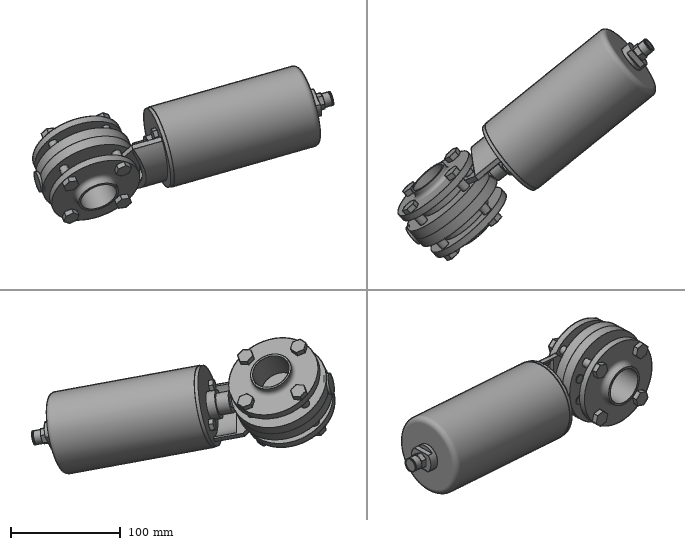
import cadquery as cq
import math


TOTAL_L = 284.0

RING_R = 45.5
RING_HALF_W = 10.0
FLANGE_R = 42.5
FLANGE_IN_X = 20.0
FLANGE_OUT_X = 26.5
HUB_R = 26.0
PIPE_R = 19.3
PIPE_END_X = 34.0
BORE_R = 17.3
WELD_FILLET = 4.0

BOLT_CIRCLE_R = 35.8
BOLT_COUNT = 4
FIRST_BOLT_ANGLE = 45
BOLT_R = 4.3
BOLT_HEAD_FLATS = 13.0
BOLT_HEAD_H = 5.0

DISC_THICK = 13.5
STEM_R = 5.7
STEM_SQUARE = 9.5
CAP_R = 9.7
CAP_SEAT_Y = -43.2
CAP_END_Y = -47.1

ACTUATOR_R = 38.0
ACTUATOR_Y = 68.5
ACTUATOR_END_Y = 214.5
ACTUATOR_FILLET = 5.0
RIM_R = 37.5
RIM_H = 3.5
COLLAR_R = 13.3
COLLAR_END_Y = 60.0
NECK_R = 10.2
NECK_END_Y = 48.0
SCREW_Z = 22.0
SCREW_FLATS = 10.2
SCREW_H = 4.3

BOSS_R = 12.8
BOSS_END_Y = 223.0
BOSS_FLAT_Z = 8.8
BOSS_FLAT_Y = 217.8
NUT_FLATS = 13.3
NUT_END_Y = 228.3
PLUG_R = 6.5
PLUG_END_Y = CAP_END_Y + TOTAL_L
GROOVE_DEPTH = 0.3
GROOVE_W = 0.9

PLATE_THICK = 4.8
PLATE_HALF_Z = 30.5
PLATE_X = RING_HALF_W
PLATE_OUT_X = PLATE_X + PLATE_THICK
PLATE_TAPER_Y = 40.0
PLATE_END_Y = 26.0
WINDOW_Y = 46.5
SHELL_AXIS_X = -10.8
SHELL_OUT_R = 39.8
SHELL_IN_R = 35.2
SHELL_TIP_X = SHELL_AXIS_X + SHELL_OUT_R
SHELL_TIP_Y = 47.7
PIN_R = 4.3
PIN_Y = 33.5
PIN_Z = 11.5
PIN_START_X = -11.0
PIN_END_X = 19.3


def x_cylinder(radius, x0, x1, y=0.0, z=0.0):
    return cq.Workplane("YZ", origin=(x0, y, z)).circle(radius).extrude(x1 - x0)


def y_plane(y, z=0.0):
    """Sketch plane facing +Y, with its first axis along -X and its second along Z."""
    return cq.Workplane(cq.Plane((0, y, z), xDir=(-1, 0, 0), normal=(0, 1, 0)))


def y_cylinder(radius, y0, y1):
    return y_plane(y0).circle(radius).extrude(y1 - y0)


def hexagon_prism(sketch_plane, flats, height):
    """Hexagonal prism with corners along the second axis of its sketch plane."""
    corner_diameter = flats / math.cos(math.pi / 6)
    return sketch_plane.transformed(rotate=(0, 0, 30)).polygon(6, corner_diameter).extrude(height)



def flange_bolt():
    """Bolt of the positive X half, at the +Y point of the bolt circle."""
    shank = x_cylinder(BOLT_R, RING_HALF_W, FLANGE_OUT_X, y=BOLT_CIRCLE_R)
    head_plane = cq.Workplane("YZ", origin=(FLANGE_OUT_X, BOLT_CIRCLE_R, 0))
    head = hexagon_prism(head_plane, BOLT_HEAD_FLATS, BOLT_HEAD_H)
    return shank.union(head)


def weld_end():
    """Pipe stub with a concave fillet against the flange."""
    fillet_x = FLANGE_OUT_X + WELD_FILLET
    foot_r = PIPE_R + WELD_FILLET
    middle = WELD_FILLET * (1 - math.sqrt(0.5))
    return (
        cq.Workplane("XY")
        .moveTo(FLANGE_OUT_X, 0)
        .lineTo(FLANGE_OUT_X, foot_r)
        .threePointArc((FLANGE_OUT_X + middle, PIPE_R + middle), (fillet_x, PIPE_R))
        .lineTo(PIPE_END_X, PIPE_R)
        .lineTo(PIPE_END_X, 0)
        .close()
        .revolve(360, (0, 0, 0), (1, 0, 0))
    )


def make_valve_half():
    """Half ring, hub, flange, weld end and bolts on the positive X side."""
    half = x_cylinder(RING_R, 0, RING_HALF_W)
    half = half.union(x_cylinder(HUB_R, RING_HALF_W, FLANGE_IN_X))
    half = half.union(x_cylinder(FLANGE_R, FLANGE_IN_X, FLANGE_OUT_X))
    half = half.union(weld_end())
    for i in range(BOLT_COUNT):
        angle = FIRST_BOLT_ANGLE + i * 360 / BOLT_COUNT
        half = half.union(flange_bolt().rotate((0, 0, 0), (1, 0, 0), angle))
    return half.cut(x_cylinder(BORE_R, 0, PIPE_END_X))



def make_disc():
    """Closed disc, square upper stem standing on a corner, round lower stem and its cap."""
    disc = x_cylinder(BORE_R, -DISC_THICK / 2, DISC_THICK / 2)
    square_stem = (
        y_plane(0).transformed(rotate=(0, 0, 45)).rect(STEM_SQUARE, STEM_SQUARE).extrude(NECK_END_Y)
    )
    lower_stem = y_cylinder(STEM_R, CAP_SEAT_Y, 0)
    cap = y_cylinder(CAP_R, CAP_END_Y, CAP_SEAT_Y)
    return disc.union(square_stem).union(lower_stem).union(cap)



def connector():
    """Flanged boss, nut and threaded plug behind the actuator."""
    boss = y_cylinder(BOSS_R, ACTUATOR_END_Y, BOSS_FLAT_Y)
    slab = y_plane(BOSS_FLAT_Y).rect(2 * BOSS_R, 2 * BOSS_FLAT_Z).extrude(BOSS_END_Y - BOSS_FLAT_Y)
    boss = boss.union(slab.intersect(y_cylinder(BOSS_R, BOSS_FLAT_Y, BOSS_END_Y)))
    nut = hexagon_prism(y_plane(BOSS_END_Y), NUT_FLATS, NUT_END_Y - BOSS_END_Y)
    groove_y = PLUG_END_Y - 2 * GROOVE_W
    plug = y_cylinder(PLUG_R, NUT_END_Y, groove_y)
    plug = plug.union(y_cylinder(PLUG_R - GROOVE_DEPTH, groove_y, groove_y + GROOVE_W))
    plug = plug.union(y_cylinder(PLUG_R, groove_y + GROOVE_W, PLUG_END_Y))
    return boss.union(nut).union(plug)


def make_actuator():
    drum = y_cylinder(ACTUATOR_R, ACTUATOR_Y + RIM_H, ACTUATOR_END_Y)
    drum = drum.faces(">Y").edges().fillet(ACTUATOR_FILLET)
    rim = y_cylinder(RIM_R, ACTUATOR_Y, ACTUATOR_Y + RIM_H)
    collar = y_cylinder(COLLAR_R, COLLAR_END_Y, ACTUATOR_Y)
    neck = y_cylinder(NECK_R, NECK_END_Y, COLLAR_END_Y)
    actuator = drum.union(rim).union(collar).union(neck).union(connector())
    for z in (-SCREW_Z, SCREW_Z):
        screw = hexagon_prism(y_plane(ACTUATOR_Y - SCREW_H, z), SCREW_FLATS, SCREW_H)
        actuator = actuator.union(screw)
    return actuator



def bracket_plate():
    taper = PLATE_TAPER_Y - PLATE_END_Y
    end_half_z = PLATE_HALF_Z - taper
    outline = [
        (ACTUATOR_Y, PLATE_HALF_Z),
        (PLATE_TAPER_Y, PLATE_HALF_Z),
        (PLATE_END_Y, end_half_z),
        (PLATE_END_Y, -end_half_z),
        (PLATE_TAPER_Y, -PLATE_HALF_Z),
        (ACTUATOR_Y, -PLATE_HALF_Z),
    ]
    return cq.Workplane("YZ", origin=(PLATE_X, 0, 0)).polyline(outline).close().extrude(PLATE_THICK)


def shell_cylinder(radius, y0):
    return y_cylinder(radius, y0, ACTUATOR_Y).translate((SHELL_AXIS_X, 0, 0))


def bracket_shell():
    """Curved guard behind the plate, its free end cut on a slant."""
    shell = shell_cylinder(SHELL_OUT_R, PLATE_TAPER_Y).cut(shell_cylinder(SHELL_IN_R, PLATE_TAPER_Y))
    profile = [
        (PLATE_X, ACTUATOR_Y),
        (PLATE_X, PLATE_TAPER_Y),
        (PLATE_OUT_X, PLATE_TAPER_Y),
        (SHELL_TIP_X, SHELL_TIP_Y),
        (SHELL_TIP_X, ACTUATOR_Y),
    ]
    return shell.intersect(cq.Workplane("XY").polyline(profile).close().extrude(PLATE_HALF_Z, both=True))


def make_bracket():
    """Plate and curved guard, open inside from the window edge up to the actuator."""
    bracket = bracket_plate().union(bracket_shell())
    bracket = bracket.cut(shell_cylinder(SHELL_IN_R, WINDOW_Y))
    for z in (-PIN_Z, PIN_Z):
        bracket = bracket.union(x_cylinder(PIN_R, PIN_START_X, PIN_END_X, PIN_Y, z))
    return bracket


disc = make_disc()
actuator = make_actuator()
bracket = make_bracket()

plain_half = make_valve_half()
valve_halves = [half.cut(disc).cut(bracket) for half in (plain_half, plain_half.mirror("YZ"))]

result = cq.Compound.makeCompound(
    [disc.val(), actuator.val(), bracket.val(), *[half.val() for half in valve_halves]]
)